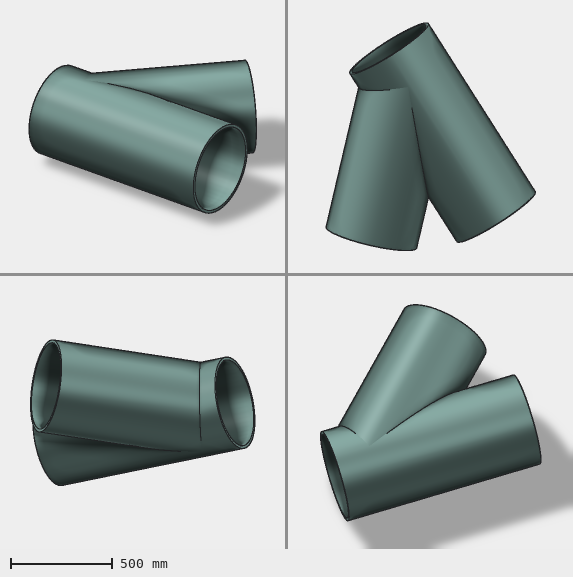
import cadquery as cq
import math

run_length = 991.0
outer_diameter = 458.0
bore_diameter = 429.0
branch_angle = 45.0
branch_length = 812.0
junction_x = 179.0

run_direction = cq.Vector(1, 0, 0)
branch_direction = cq.Vector(
    math.cos(math.radians(branch_angle)),
    math.sin(math.radians(branch_angle)),
    0,
)
run_start = cq.Vector(0, 0, 0)
junction = cq.Vector(junction_x, 0, 0)


def rod(diameter, length, start, direction):
    """Solid cylinder from a start point along a direction."""
    return cq.Workplane(cq.Solid.makeCylinder(diameter / 2, length, start, direction))


def tee_body(diameter):
    """Run and branch cylinders of one diameter, joined at the axis crossing."""
    run = rod(diameter, run_length, run_start, run_direction)
    branch = rod(diameter, branch_length, junction, branch_direction)
    return run.union(branch)


result = tee_body(outer_diameter).cut(tee_body(bore_diameter))